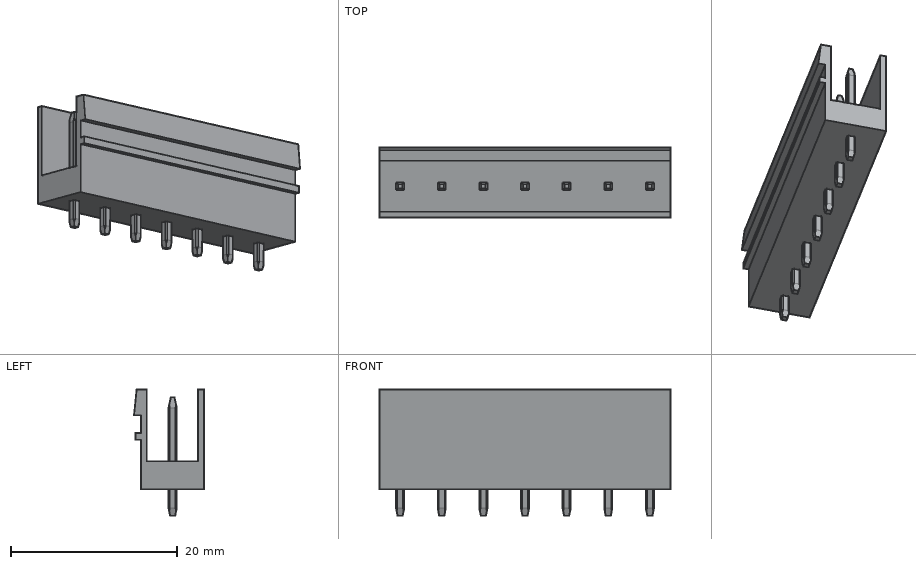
import cadquery as cq

length = 35.0
depth = 7.6
height = 12.0
floor_thickness = 3.4
front_wall = 0.75
back_wall = 0.75

catch_height = 3.1
catch_reach_top = 0.52
catch_reach_bottom = 0.85

rib_reach = 0.65
rib_height = 0.85
rib_top_drop = 5.2

pin_count = 7
pin_pitch = length / pin_count
pin_width = 1.0
pin_chamfer = 0.18
pin_y = 3.78
pin_below = 3.2
pin_top_drop = 0.95
upper_taper = 1.25
upper_tip_width = 0.45
lower_taper = 0.95
lower_tip_width = 0.63

pin_length = pin_below + height - pin_top_drop


def square_taper(base_z, base_width, tip_z, tip_width):
    """Square frustum about the Z axis, between two heights."""
    return (
        cq.Workplane("XY", origin=(0, 0, base_z))
        .rect(base_width, base_width)
        .workplane(offset=tip_z - base_z)
        .rect(tip_width, tip_width)
        .loft(ruled=True)
    )


def make_pin():
    """One pin on the Z axis, at its height in the housing."""
    bottom = -pin_below
    top = bottom + pin_length
    lower_shoulder = bottom + lower_taper
    upper_shoulder = top - upper_taper
    bar = (
        cq.Workplane("XY", origin=(0, 0, bottom))
        .rect(pin_width, pin_width)
        .extrude(pin_length)
        .edges("|Z")
        .chamfer(pin_chamfer)
    )
    envelope = (
        square_taper(lower_shoulder, pin_width, upper_shoulder, pin_width)
        .union(square_taper(lower_shoulder, pin_width, bottom, lower_tip_width))
        .union(square_taper(upper_shoulder, pin_width, top, upper_tip_width))
    )
    return bar.intersect(envelope)


def make_housing(pins):
    """Extruded channel profile with a matching hole for each pin."""
    catch_bottom = height - catch_height
    rib_top = height - rib_top_drop
    rib_bottom = rib_top - rib_height
    profile = [
        (0, 0),
        (depth, 0),
        (depth, rib_bottom),
        (depth + rib_reach, rib_bottom),
        (depth + rib_reach, rib_top),
        (depth, rib_top),
        (depth, catch_bottom),
        (depth + catch_reach_bottom, catch_bottom),
        (depth + catch_reach_top, height),
        (depth - back_wall, height),
        (depth - back_wall, floor_thickness),
        (front_wall, floor_thickness),
        (front_wall, height),
        (0, height),
    ]
    body = cq.Workplane("YZ").polyline(profile).close().extrude(length / 2, both=True)
    for pin in pins:
        body = body.cut(pin)
    return body


pins = []
for index in range(pin_count):
    pin_x = (index - (pin_count - 1) / 2) * pin_pitch
    pins.append(make_pin().translate((pin_x, pin_y, 0)))

housing = make_housing(pins)

result = cq.Compound.makeCompound([housing.val(), *[pin.val() for pin in pins]])